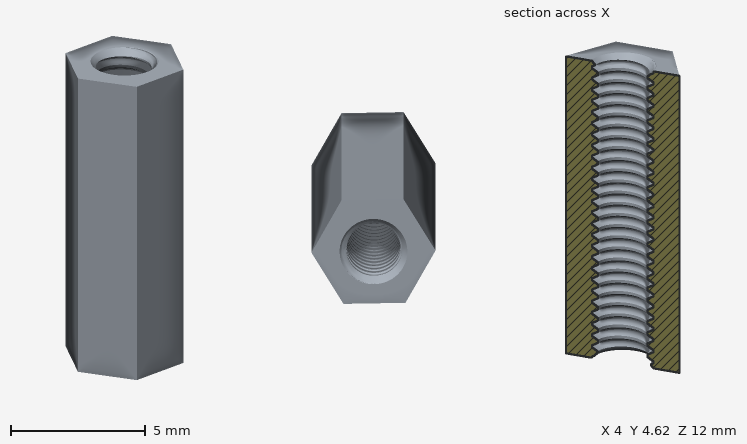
import cadquery as cq
import math

length = 12.0
across_flats = 4.0
across_corners = across_flats / math.cos(math.radians(30))

flank_slope = math.tan(math.radians(30))
turns = 80 / 3
pitch = length / turns
major_radius = 2.5 / 2
mouth_radius = 2.52 / 2
root_flat = pitch / 8
crest_flat = pitch / 4
groove_width = pitch - crest_flat
flank_rise = (groove_width - root_flat) / 2
thread_depth = flank_rise / flank_slope
minor_radius = major_radius - thread_depth
thread_start_angle = 248.5
bore_seam_angle = 180
bore_overlap = 0.04


def hexagonal_bar():
    """Hexagon with two flats facing -X and +X."""
    bar = cq.Workplane("XY").polygon(6, across_corners).extrude(length)
    return bar.rotate((0, 0, 0), (0, 0, 1), 30)


def chamfered_bore():
    """Bore at the thread's minor diameter with a 45 degree lead-in at both ends."""
    lead_in = mouth_radius - minor_radius
    return (
        cq.Workplane("XZ")
        .moveTo(0, 0)
        .lineTo(mouth_radius, 0)
        .lineTo(minor_radius, lead_in)
        .lineTo(minor_radius, length - lead_in)
        .lineTo(mouth_radius, length)
        .lineTo(0, length)
        .close()
        .revolve(360, (0, 0, 0), (0, 1, 0))
        .rotate((0, 0, 0), (0, 0, 1), bore_seam_angle)
    )


def thread_groove():
    """Trapezoidal helical cutter that runs one pitch past both ends."""
    height = length + 2 * pitch
    inner_radius = minor_radius - bore_overlap
    inner_half_width = groove_width / 2 + bore_overlap * flank_slope
    corners = [
        (inner_radius, -inner_half_width),
        (major_radius, -root_flat / 2),
        (major_radius, root_flat / 2),
        (inner_radius, inner_half_width),
    ]
    edges = [
        cq.Wire.makeHelix(pitch, height, radius).translate(cq.Vector(0, 0, z)).Edges()[0]
        for radius, z in corners
    ]
    sides = [cq.Face.makeRuledSurface(edges[i - 1], edges[i]) for i in range(len(edges))]
    ends = [
        cq.Face.makeFromWires(cq.Wire.makePolygon([edge.positionAt(end) for edge in edges], close=True))
        for end in (0, 1)
    ]
    groove = cq.Solid.makeSolid(cq.Shell.makeShell(sides + ends))
    groove = groove.rotate(cq.Vector(0, 0, 0), cq.Vector(0, 0, 1), thread_start_angle)
    return cq.Workplane(obj=groove.translate(cq.Vector(0, 0, -pitch)))


result = hexagonal_bar().cut(chamfered_bore()).cut(thread_groove())